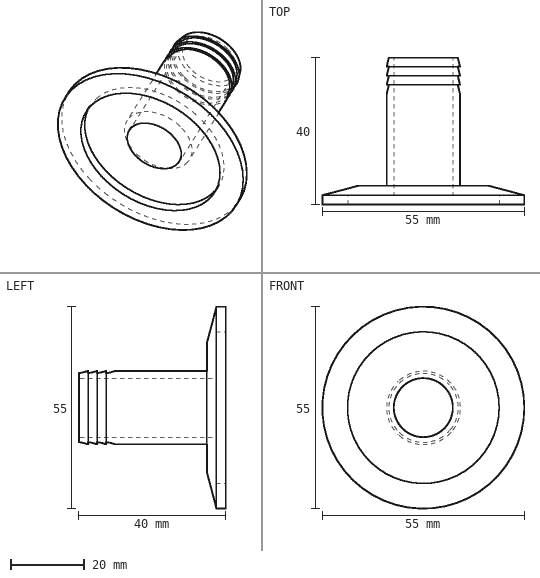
import cadquery as cq

flange_diameter = 55.0
rim_thickness = 2.6
flange_thickness = 5.15
shoulder_diameter = 35.5
recess_diameter = 41.25
recess_depth = 2.6
overall_length = 40.0
tail_diameter = 20.0
bore_diameter = 16.0
barb_count = 4
barb_pitch = 2.5
barb_tip_diameter = 18.8


def disc(diameter, start, length):
    """Cylinder along +Y beginning at the given distance from the flange face."""
    plane = cq.Plane(origin=(0, start, 0), xDir=(1, 0, 0), normal=(0, 1, 0))
    return cq.Workplane(plane).circle(diameter / 2).extrude(length)


def flange_and_tail():
    """Revolved outline: tapered flange, plain tail, then a row of barbs."""
    tail_radius = tail_diameter / 2
    barb_start = overall_length - barb_count * barb_pitch
    points = [
        (0, 0),
        (flange_diameter / 2, 0),
        (flange_diameter / 2, rim_thickness),
        (shoulder_diameter / 2, flange_thickness),
        (tail_radius, flange_thickness),
    ]
    for index in range(barb_count):
        base = barb_start + index * barb_pitch
        points.append((tail_radius, base))
        points.append((barb_tip_diameter / 2, base + barb_pitch))
    points.append((0, overall_length))
    return cq.Workplane("XY").polyline(points).close().revolve(360, (0, 0, 0), (0, 1, 0))


recess = disc(recess_diameter, 0, recess_depth)
bore = disc(bore_diameter, 0, overall_length)
result = flange_and_tail().cut(recess).cut(bore)